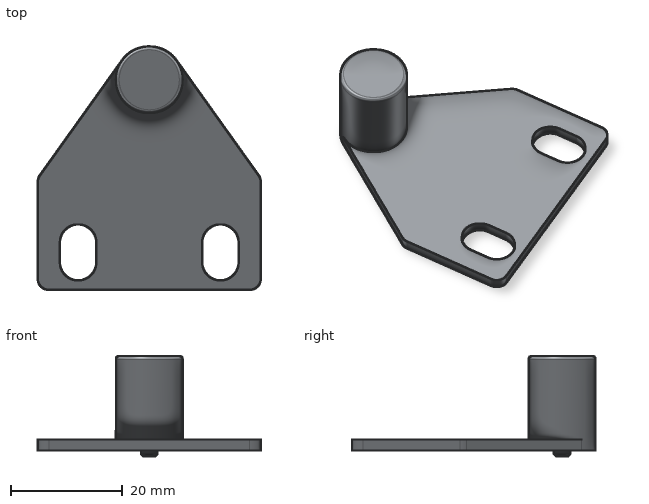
import cadquery as cq
import math

overall_length = 43.7
plate_width = 40.0
plate_thickness = 2.0
shoulder_y = 20.0
corner_radius = 2.0

post_diameter = 12.0
post_height = 15.0
post_edge_radius = 0.6
post_radius = post_diameter / 2
post_y = overall_length - post_radius

pin_diameter = 3.0
pin_length = 1.0
pin_chamfer = 0.5

slot_width = 6.5
slot_length = 10.0
slot_spacing = 25.5
slot_y = 6.73


def make_plate():
    """House-shaped plate whose sloping sides are tangent to its round tip."""
    half_width = plate_width / 2
    rise = post_y - shoulder_y
    shoulder_distance = math.hypot(half_width, rise)
    slope_angle = math.atan2(rise, half_width) + math.asin(post_radius / shoulder_distance)
    tangent_x = post_radius * math.sin(slope_angle)
    tangent_y = post_y + post_radius * math.cos(slope_angle)

    plate = (
        cq.Workplane("XY")
        .moveTo(-half_width, 0)
        .lineTo(half_width, 0)
        .lineTo(half_width, shoulder_y)
        .lineTo(tangent_x, tangent_y)
        .threePointArc((0, overall_length), (-tangent_x, tangent_y))
        .lineTo(-half_width, shoulder_y)
        .close()
        .extrude(plate_thickness)
    )
    corners = plate.faces("<X or >X").edges("|Z")
    return plate.newObject(corners.vals()).fillet(corner_radius)


def make_slots():
    return (
        cq.Workplane("XY")
        .pushPoints([(-slot_spacing / 2, slot_y), (slot_spacing / 2, slot_y)])
        .slot2D(slot_length, slot_width, 90)
        .extrude(plate_thickness)
    )


def make_post():
    return (
        cq.Workplane("XY")
        .center(0, post_y)
        .circle(post_radius)
        .extrude(plate_thickness + post_height)
        .faces(">Z")
        .edges()
        .fillet(post_edge_radius)
    )


def make_pin():
    return (
        cq.Workplane("XY")
        .center(0, post_y)
        .circle(pin_diameter / 2)
        .extrude(-pin_length)
        .faces("<Z")
        .edges()
        .chamfer(pin_chamfer)
    )


result = make_plate().cut(make_slots()).union(make_post()).union(make_pin())